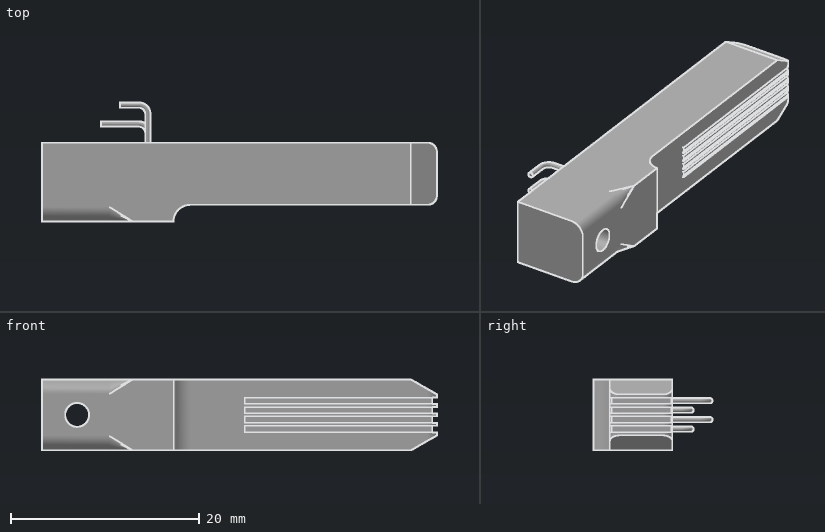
import cadquery as cq
import math


LENGTH = 42.0
HEIGHT = 7.55
DEPTH = 8.4

STEP_X = 14.0
STEP_DEPTH = 1.75

NOSE_LENGTH = 2.77
NOSE_DROP = 1.6
NOSE_RADIUS = 1.0

EDGE_RADIUS = 1.5
EDGE_STRAIGHT = 7.22
EDGE_END = 9.65

HOLE_X = 3.75
HOLE_DIAMETER = 2.5

PITCH = 1.0
CONTACT_COUNT = 4
CONTACT_HEIGHTS = [(i - (CONTACT_COUNT - 1) / 2) * PITCH for i in range(CONTACT_COUNT)]

GROOVE_START = 21.55
GROOVE_WIDTH = 0.67
GROOVE_DEPTH = 0.2
NOSE_GROOVE_DEPTH = 0.5

PIN_DIAMETER = 0.6
PIN_X = 11.25
PIN_BEND_RADIUS = 0.95
TOTAL_DEPTH = 12.7
LONG_REACH = TOTAL_DEPTH - DEPTH - PIN_DIAMETER / 2
LONG_TIP_X = 8.27
SHORT_REACH = LONG_REACH - 2 * PITCH
SHORT_TIP_X = LONG_TIP_X - 2 * PITCH


def housing_block():
    """Stepped outline in XY, raised to the full height."""
    return (
        cq.Workplane("XY", origin=(0, 0, -HEIGHT / 2))
        .lineTo(STEP_X, 0)
        .radiusArc((STEP_X + STEP_DEPTH, STEP_DEPTH), STEP_DEPTH)
        .lineTo(LENGTH, STEP_DEPTH)
        .lineTo(LENGTH, DEPTH)
        .lineTo(0, DEPTH)
        .close()
        .extrude(HEIGHT)
        .edges("|Z and >X")
        .fillet(NOSE_RADIUS)
    )


def nose_envelope():
    """Side outline in XZ whose far end tapers to the nose."""
    half = HEIGHT / 2
    return (
        cq.Workplane("XZ")
        .moveTo(0, -half)
        .lineTo(LENGTH - NOSE_LENGTH, -half)
        .lineTo(LENGTH, NOSE_DROP - half)
        .lineTo(LENGTH, half - NOSE_DROP)
        .lineTo(LENGTH - NOSE_LENGTH, half)
        .lineTo(0, half)
        .close()
        .extrude(-DEPTH)
    )


def corner_profile(x, radius):
    """Material outside a round of the given radius on the upper front edge, as a wire at x."""
    top = HEIGHT / 2
    inset = radius * (1 - math.sqrt(0.5))
    corner = cq.Vector(x, 0, top)
    on_front = cq.Vector(x, 0, top - radius)
    on_top = cq.Vector(x, radius, top)
    middle = cq.Vector(x, inset, top - inset)
    return cq.Wire.assembleEdges([
        cq.Edge.makeLine(corner, on_front),
        cq.Edge.makeThreePointArc(on_front, middle, on_top),
        cq.Edge.makeLine(on_top, corner),
    ])


def upper_edge_cutter():
    """Constant round along the tail, followed by one that shrinks to a point on the edge."""
    full = corner_profile(EDGE_STRAIGHT, EDGE_RADIUS)
    straight = cq.Solid.makeLoft([corner_profile(0, EDGE_RADIUS), full], True)
    apex = cq.Vertex.makeVertex(EDGE_END, 0, HEIGHT / 2)
    fading = cq.occ_impl.shapes.loft(full, apex, cap=True, ruled=True)
    return cq.Workplane(straight).union(cq.Workplane(fading))


def cross_hole():
    return cq.Workplane("XZ").center(HOLE_X, 0).circle(HOLE_DIAMETER / 2).extrude(-DEPTH)


def contact_groove(z):
    """Groove along the thinned front face that turns back across the nose."""
    front = cq.Workplane("XY").box(
        LENGTH - GROOVE_START, GROOVE_DEPTH, GROOVE_WIDTH, centered=(False, False, True)
    ).translate((GROOVE_START, STEP_DEPTH, z))
    nose = cq.Workplane("XY").box(
        NOSE_GROOVE_DEPTH, DEPTH - STEP_DEPTH, GROOVE_WIDTH, centered=(False, False, True)
    ).translate((LENGTH - NOSE_GROOVE_DEPTH, STEP_DEPTH, z))
    return front.union(nose)


def make_housing():
    body = housing_block().intersect(nose_envelope())
    upper_cutter = upper_edge_cutter()
    body = body.cut(upper_cutter).cut(upper_cutter.mirror("XY"))
    body = body.cut(cross_hole())
    for z in CONTACT_HEIGHTS:
        body = body.cut(contact_groove(z))
    return body


def make_pin(z, reach, tip_x):
    """Round pin standing on the back face and bent toward the tail."""
    bend_start_y = DEPTH + reach - PIN_BEND_RADIUS
    path = (
        cq.Workplane("XY", origin=(0, 0, z))
        .moveTo(PIN_X, DEPTH)
        .lineTo(PIN_X, bend_start_y)
        .radiusArc((PIN_X - PIN_BEND_RADIUS, DEPTH + reach), -PIN_BEND_RADIUS)
        .lineTo(tip_x, DEPTH + reach)
    )
    return cq.Workplane("XZ", origin=(PIN_X, DEPTH, z)).circle(PIN_DIAMETER / 2).sweep(path)


housing = make_housing()

pins = []
for index, height in enumerate(CONTACT_HEIGHTS):
    if index % 2:
        pins.append(make_pin(height, LONG_REACH, LONG_TIP_X))
    else:
        pins.append(make_pin(height, SHORT_REACH, SHORT_TIP_X))

result = cq.Compound.makeCompound([housing.val(), *[pin.val() for pin in pins]])